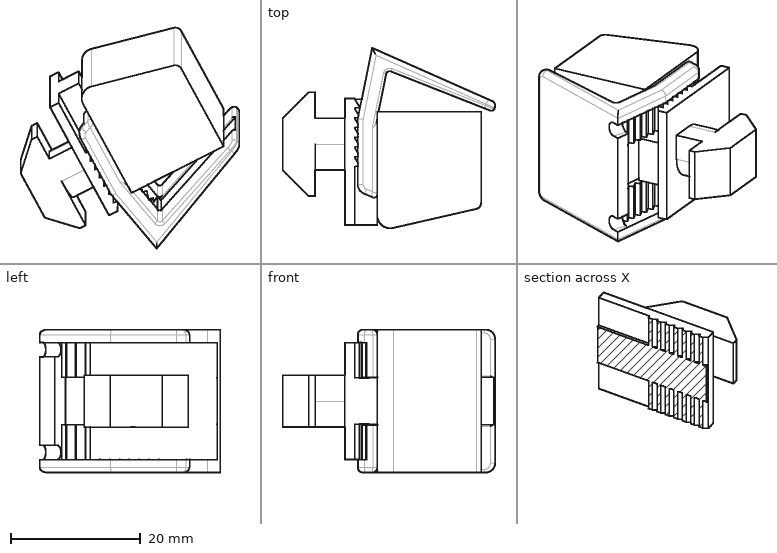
import cadquery as cq
import math


block_length = 16.0
block_height = 22.0
block_top_y = 5.0
block_left_y = -13.46
block_right_y = -9.8
block_left_radius = 2.0
block_right_radius = 1.0

rib_depth = 3.5
rib_width = 7.1
rib_end_inset = 0.1
plate_thickness = 1.5
plate_width = 18.0
plate_top_y = 7.05
plate_bottom_y = -12.45
plate_back_x = -rib_depth
plate_face_x = plate_back_x - plate_thickness

tooth_count = 7
tooth_pitch = 1.5
tooth_depth = 0.8
tooth_run = 1.4

stem_length = 4.55
stem_radius = 4.0
head_back_x = plate_face_x - stem_length
head_thickness = 5.0
head_rim = 1.0
head_half_length = 8.0
head_flat_half_length = 4.0
head_width = 2 * stem_radius

lever_height = 22.0
lever_outer_x = -3.0
bend_y = 3.95
clear_x = 2 * lever_outer_x
apex = (-0.8, 14.84)
foot_corner_y = -7.2
foot_slope = math.radians(23.0)
foot_outer_radius = 1.6
foot_tip_radius = 0.5

handle_length = 21.02
handle_slope = math.radians(23.9)
handle_inner_slope = math.radians(21.5)
handle_root_thickness = 2.35
handle_corner_radius = 1.5
inner_corner_radius = 0.5
outer_edge_radius = 0.8
inner_edge_radius = 0.5

pocket_width = 18.0
slot_width = 7.3
pocket_top = (-1.29, 12.5)
pocket_top_slope = math.radians(31.0)
pocket_top_length = 2.05
first_root = (0.69, 10.8)
lever_tooth_count = 6
pocket_crest = (-2.35, -4.5)
pocket_foot = (-1.8, -7.1)
pocket_exit = (-1.58, -7.4)

channel_depth = 0.3
channel_edge_radius = 0.25

notch_radius = 1.1
notch_center_z = pocket_width / 2 - notch_radius
notch_setback = 1.18
notch_reach = 3.0


def prism(outline, height):
    """Extrude a closed XY outline, centred on Z = 0."""
    return cq.Workplane("XY").polyline(outline).close().extrude(height / 2, both=True)


def along(start, slope, distance):
    """Point at a distance from start, in a direction falling by slope below +X."""
    return (start[0] + distance * math.cos(slope), start[1] - distance * math.sin(slope))


def crossing(point_a, direction_a, point_b, direction_b):
    """Point where two XY lines meet."""
    det = direction_a[0] * direction_b[1] - direction_a[1] * direction_b[0]
    gap = (point_b[0] - point_a[0], point_b[1] - point_a[1])
    reach = (gap[0] * direction_b[1] - gap[1] * direction_b[0]) / det
    return (point_a[0] + reach * direction_a[0], point_a[1] + reach * direction_a[1])


def midpoint(point_a, point_b):
    """Point halfway between two XY points."""
    return ((point_a[0] + point_b[0]) / 2, (point_a[1] + point_b[1]) / 2)


def make_clamp_block():
    outline = [
        (0, block_top_y),
        (0, block_left_y),
        (block_length, block_right_y),
        (block_length, block_top_y),
    ]
    block = prism(outline, block_height)
    block = block.edges("|Z and <X and <Y").fillet(block_left_radius)
    return block.edges("|Z and >X").edges("<Y").fillet(block_right_radius)


def make_toothed_plate():
    outline = [(plate_face_x, plate_bottom_y), (plate_face_x, plate_top_y)]
    for index in range(tooth_count):
        tooth_top = plate_top_y - index * tooth_pitch
        outline.append((plate_back_x, tooth_top))
        outline.append((plate_back_x + tooth_depth, tooth_top - tooth_run))
    outline.append((plate_back_x, plate_top_y - tooth_count * tooth_pitch))
    outline.append((plate_back_x, plate_bottom_y))
    return prism(outline, plate_width)


def make_rib():
    rib_length = plate_top_y - rib_end_inset - plate_bottom_y
    rib = cq.Workplane("XY").box(rib_depth, rib_length, rib_width, centered=(False, False, True))
    return rib.translate((plate_back_x, plate_bottom_y, 0))


def make_stem():
    """Round stem with two diagonally opposite square quarters that stop its turn."""
    stem = cq.Workplane("YZ").circle(stem_radius).extrude(stem_length)
    for side in (1, -1):
        middle = side * stem_radius / 2
        quarter = cq.Workplane("YZ").center(middle, middle).rect(stem_radius, stem_radius)
        stem = stem.union(quarter.extrude(stem_length))
    return stem.translate((head_back_x, 0, 0))


def make_head():
    tip_x = head_back_x - head_thickness
    rim_x = head_back_x - head_rim
    outline = [
        (tip_x, head_flat_half_length),
        (rim_x, head_half_length),
        (head_back_x, head_half_length),
        (head_back_x, -head_half_length),
        (rim_x, -head_half_length),
        (tip_x, -head_flat_half_length),
    ]
    return prism(outline, head_width)


def make_t_slot_block():
    body = make_clamp_block().union(make_rib()).union(make_toothed_plate())
    return body.union(make_stem()).union(make_head())


bend = (lever_outer_x, bend_y)
inner_bend = (0, bend_y)
arm_direction = (apex[0] - bend[0], apex[1] - bend[1])
handle_end = along(apex, handle_slope, handle_length)
handle_root = along(apex, handle_slope + math.pi / 2, handle_root_thickness)
handle_inner_direction = (math.cos(handle_inner_slope), -math.sin(handle_inner_slope))
handle_end_direction = (math.sin(handle_slope), math.cos(handle_slope))
inner_corner = crossing(inner_bend, arm_direction, handle_root, handle_inner_direction)
handle_inner_end = crossing(handle_end, handle_end_direction, handle_root, handle_inner_direction)
foot_corner = (lever_outer_x, foot_corner_y)
foot_tip = (0, foot_corner_y + lever_outer_x * math.tan(foot_slope))
pocket_top_direction = (math.cos(pocket_top_slope), -math.sin(pocket_top_slope))


def upright_edge(body, corner):
    """Edge parallel to Z that passes through an outline corner."""
    return body.edges(cq.selectors.NearestToPointSelector((corner[0], corner[1], 0)))


def edges_on_both_ends(body, start, finish):
    """The two edges, one on each Z end, along the outline stretch from start to finish."""
    x, y = midpoint(start, finish)
    top_edge = body.edges(cq.selectors.NearestToPointSelector((x, y, lever_height / 2)))
    bottom_edge = body.edges(cq.selectors.NearestToPointSelector((x, y, -lever_height / 2)))
    return top_edge.add(bottom_edge)


def make_lever_blank():
    outline = [
        apex,
        bend,
        foot_corner,
        foot_tip,
        inner_bend,
        inner_corner,
        handle_inner_end,
        handle_end,
    ]
    blank = prism(outline, lever_height)

    blank = upright_edge(blank, foot_corner).fillet(foot_outer_radius)
    blank = upright_edge(blank, foot_tip).fillet(foot_tip_radius)
    blank = upright_edge(blank, inner_corner).fillet(inner_corner_radius)
    blank = edges_on_both_ends(blank, handle_end, handle_inner_end).fillet(handle_corner_radius)

    outer_edges = edges_on_both_ends(blank, handle_end, apex)
    outer_edges = outer_edges.add(edges_on_both_ends(blank, apex, bend))
    outer_edges = outer_edges.add(edges_on_both_ends(blank, bend, foot_corner))
    blank = blank.newObject(outer_edges.vals()).fillet(outer_edge_radius)

    inner_edges = edges_on_both_ends(blank, inner_corner, handle_inner_end)
    return blank.newObject(inner_edges.vals()).fillet(inner_edge_radius)


def make_tooth_pocket():
    """Recess in the front arm whose floor carries the lever's ratchet teeth."""
    lean = math.atan2(arm_direction[0], arm_direction[1])
    outline = [pocket_top, along(pocket_top, pocket_top_slope, pocket_top_length)]
    root = first_root
    for _ in range(lever_tooth_count):
        tip = (
            root[0] - tooth_depth * math.cos(lean),
            root[1] - (tooth_pitch - tooth_run) * math.cos(lean),
        )
        outline.append(root)
        outline.append(tip)
        root = (root[0] - tooth_pitch * math.sin(lean), root[1] - tooth_pitch * math.cos(lean))
    outline += [pocket_crest, pocket_foot, pocket_exit]
    outline.append((pocket_exit[0], foot_tip[1]))
    outline.append((clear_x, foot_tip[1]))
    outline.append((clear_x, pocket_top[1]))
    return prism(outline, pocket_width)


def make_rib_slot():
    """Slot through the whole front arm that clears the rib."""
    far_point = crossing(pocket_top, pocket_top_direction, inner_corner, arm_direction)
    outline = [
        pocket_top,
        far_point,
        inner_bend,
        (0, foot_tip[1]),
        (clear_x, foot_tip[1]),
        (clear_x, pocket_top[1]),
    ]
    return prism(outline, slot_width)


def make_handle_channel():
    """Shallow channel along the handle's underside, with both edges rounded outward."""
    length = 2 * handle_length
    half_width = slot_width / 2
    rounding = channel_edge_radius
    tilt = math.degrees(handle_inner_slope)
    profile = (
        cq.Workplane("YZ")
        .moveTo(channel_depth, -half_width)
        .lineTo(channel_depth, half_width)
        .lineTo(rounding, half_width)
        .radiusArc((0, half_width + rounding), rounding)
        .lineTo(-inner_corner_radius, half_width + rounding)
        .lineTo(-inner_corner_radius, -half_width - rounding)
        .lineTo(0, -half_width - rounding)
        .radiusArc((rounding, -half_width), rounding)
        .close()
    )
    return (
        profile.extrude(length)
        .rotate((0, 0, 0), (0, 0, 1), -tilt)
        .translate((inner_corner[0], inner_corner[1], 0))
    )


def make_apex_notch(z):
    """Round-bottomed notch through the apex, square to the handle."""
    notch = cq.Workplane("XZ").circle(notch_radius).extrude(notch_reach, both=True)
    opening = cq.Workplane("XY").box(notch_reach, 2 * notch_reach, 2 * notch_radius)
    notch = notch.union(opening.translate((-notch_reach / 2, 0, 0)))
    center = along(apex, handle_slope, notch_setback)
    return notch.rotate((0, 0, 0), (0, 0, 1), -math.degrees(handle_slope)).translate((*center, z))


def make_lever():
    lever = make_lever_blank()
    lever = lever.cut(make_handle_channel())
    lever = lever.cut(make_tooth_pocket()).cut(make_rib_slot())
    lever = lever.cut(make_clamp_block())
    for side in (1, -1):
        lever = lever.cut(make_apex_notch(side * notch_center_z))
    return lever


t_slot_block = make_t_slot_block()
lever = make_lever()
result = cq.Compound.makeCompound([t_slot_block.val(), lever.val()])